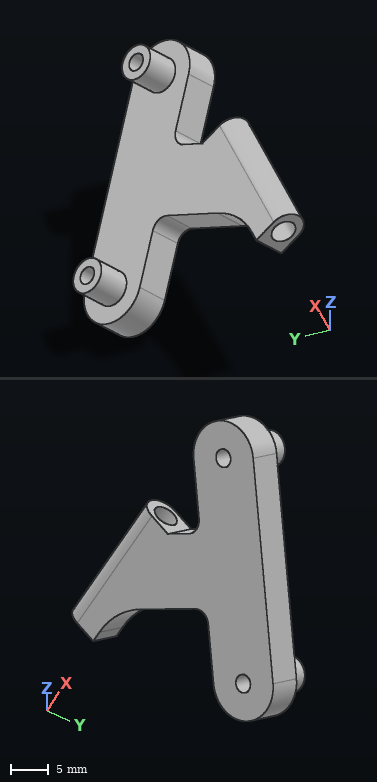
import cadquery as cq
import math

overall_length = 39.48
thickness = 5.0
end_radius = 5.0
hole_spacing = 29.95
stem_width = 10.0
corner_radius = 2.0
flare_radius = 10.0
boss_diameter = 4.97
boss_height = 5.0
boss_hole_diameter = 2.45
barrel_length = 20.0
barrel_hole_diameter = 3.4
barrel_hole_drop = 0.5
tilt = 45
bar_angle = 45

diagonal = math.sqrt(0.5)
boss_offset = hole_spacing / 2 * diagonal
boss_centres = [(-boss_offset, -boss_offset), (boss_offset, boss_offset)]
barrel_left = boss_offset + end_radius - overall_length
barrel_right = barrel_left + barrel_length
barrel_hole_y = -(barrel_left + barrel_right) / 2
barrel_y = barrel_hole_y + barrel_hole_drop
barrel_radius = thickness / 2
stem_half_diagonal = stem_width / 2 / diagonal
shoulder_y = stem_half_diagonal - barrel_right


def make_crossbar():
    return (
        cq.Workplane("XY", origin=(0, 0, -thickness / 2))
        .transformed(rotate=(0, 0, bar_angle))
        .slot2D(hole_spacing + 2 * end_radius, 2 * end_radius)
        .extrude(thickness)
    )


def make_stem():
    """Diagonal stem with the flat-sided block that carries the barrel."""
    flare_x = -stem_half_diagonal - shoulder_y
    return (
        cq.Workplane("XY", origin=(0, 0, -thickness / 2))
        .moveTo(barrel_left, barrel_y)
        .lineTo(barrel_left, shoulder_y)
        .lineTo(flare_x, shoulder_y)
        .lineTo(-stem_half_diagonal, 0)
        .lineTo(stem_half_diagonal, 0)
        .lineTo(barrel_right, shoulder_y)
        .lineTo(barrel_right, barrel_y)
        .close()
        .extrude(thickness)
        .edges(cq.selectors.NearestToPointSelector((flare_x, shoulder_y, 0)))
        .fillet(flare_radius)
    )


def round_inner_corners(body):
    for side in (-1, 1):
        along_bar = side * stem_width / 2
        corner = (diagonal * (along_bar - end_radius), diagonal * (along_bar + end_radius), 0)
        body = body.edges(cq.selectors.NearestToPointSelector(corner)).fillet(corner_radius)
    return body


def make_barrel_rod(radius, axis_y):
    """Cylinder along X over the length of the barrel."""
    return (
        cq.Workplane("YZ", origin=(barrel_left, axis_y, 0))
        .circle(radius)
        .extrude(barrel_length)
    )


def make_boss_rods(diameter):
    """Cylinders on both boss axes, from the plate's plain face to the boss tops."""
    return (
        cq.Workplane("XY", origin=(0, 0, thickness / 2))
        .pushPoints(boss_centres)
        .circle(diameter / 2)
        .extrude(-thickness - boss_height)
    )


plate = round_inner_corners(make_crossbar().union(make_stem()))
barrel = make_barrel_rod(barrel_radius, barrel_y)
barrel_hole = make_barrel_rod(barrel_hole_diameter / 2, barrel_hole_y)

flat_part = (
    plate
    .union(barrel)
    .union(make_boss_rods(boss_diameter))
    .cut(make_boss_rods(boss_hole_diameter))
    .cut(barrel_hole)
)

result = flat_part.rotate((0, 0, 0), (1, 0, 0), 180 - tilt)